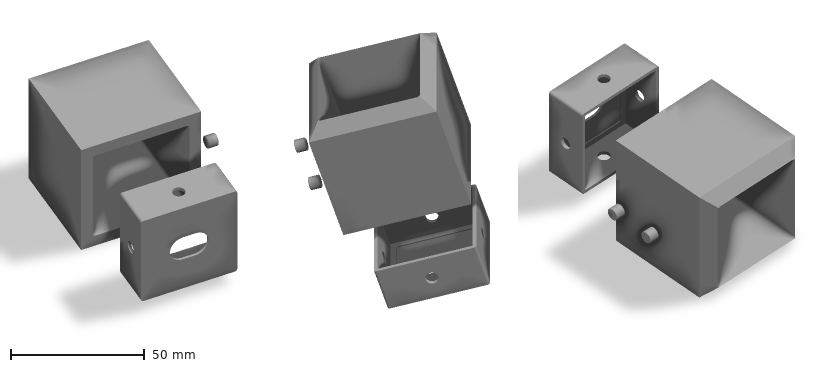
import cadquery as cq
import math

SLEEVE_SIZE = 50.0
SLEEVE_STRAIGHT = 45.0
BORE_SIZE = 40.0
CORNER_RADIUS = 1.0

OVERALL_LENGTH = 91.4
BRACKET_DEPTH = 18.0
BRACKET_WALL = 1.5
FLOOR_THICKNESS = 1.5
RECESS_SIZE = 32.2
RECESS_DEPTH = 0.5
SLOT_LENGTH = 16.0
SLOT_WIDTH = 11.0

PIN_DIAMETER = 5.0
PIN_LENGTH = 4.4
PIN_FRONT_CHAMFER = 0.5
PIN_FRONT_CHAMFER_LENGTH = 0.3
PIN_BACK_CHAMFER = 0.2
PIN_X_POSITIONS = (17.9, 36.0)
OVERALL_WIDTH = 60.5

RIM_WIDTH = (SLEEVE_SIZE - BORE_SIZE) / 2
CORNER_INSET = CORNER_RADIUS * (1 - math.sqrt(0.5))
TIP_X = -(RIM_WIDTH + CORNER_INSET)
BRACKET_BACK = TIP_X + OVERALL_LENGTH
BRACKET_FRONT = BRACKET_BACK - BRACKET_DEPTH
FLOOR_X = BRACKET_BACK - FLOOR_THICKNESS
PIN_BACK_Y = OVERALL_WIDTH - SLEEVE_SIZE / 2


def square_bar(size, start_x, length):
    """Square bar along +X, centred on the X axis."""
    return cq.Workplane("YZ", origin=(start_x, 0, 0)).rect(size, size).extrude(length)


def rounded_bar(size, start_x, length):
    """Square bar along +X with its four long edges rounded."""
    return square_bar(size, start_x, length).edges("|X").fillet(CORNER_RADIUS)


def make_sleeve():
    bevel_height = RIM_WIDTH + CORNER_RADIUS
    bevel = (
        cq.Workplane("YZ")
        .rect(SLEEVE_SIZE, SLEEVE_SIZE)
        .extrude(-bevel_height, taper=45)
    )
    tube = square_bar(SLEEVE_SIZE, 0, SLEEVE_STRAIGHT).union(bevel)
    bore = rounded_bar(BORE_SIZE, -bevel_height, bevel_height + SLEEVE_STRAIGHT)
    return tube.cut(bore)


def make_bracket():
    cup = rounded_bar(BORE_SIZE, BRACKET_FRONT, BRACKET_DEPTH)
    cavity_size = BORE_SIZE - 2 * BRACKET_WALL
    cup = cup.cut(square_bar(cavity_size, BRACKET_FRONT, FLOOR_X - BRACKET_FRONT))
    cup = cup.cut(rounded_bar(RECESS_SIZE, FLOOR_X, RECESS_DEPTH))
    slot = (
        cq.Workplane("YZ", origin=(FLOOR_X, 0, 0))
        .slot2D(SLOT_LENGTH, SLOT_WIDTH)
        .extrude(FLOOR_THICKNESS)
    )
    cup = cup.cut(slot)
    hole_center = (BRACKET_FRONT + BRACKET_DEPTH / 2, 0, 0)
    for plane in ("XY", "XZ"):
        hole = (
            cq.Workplane(plane, origin=hole_center)
            .circle(PIN_DIAMETER / 2)
            .extrude(BORE_SIZE / 2, both=True)
        )
        cup = cup.cut(hole)
    return cup


def make_pin(center_x):
    """Short pin along Y with a larger chamfer on its -Y end."""
    base = cq.Plane(origin=(center_x, PIN_BACK_Y, 0), xDir=(0, 0, 1), normal=(0, -1, 0))
    pin = cq.Workplane(base).circle(PIN_DIAMETER / 2).extrude(PIN_LENGTH)
    pin = pin.faces(">Y").chamfer(PIN_BACK_CHAMFER)
    return pin.faces("<Y").chamfer(PIN_FRONT_CHAMFER_LENGTH, PIN_FRONT_CHAMFER)


sleeve = make_sleeve()
bracket = make_bracket()
pins = [make_pin(center_x) for center_x in PIN_X_POSITIONS]

result = cq.Compound.makeCompound([sleeve.val(), bracket.val(), *[pin.val() for pin in pins]])